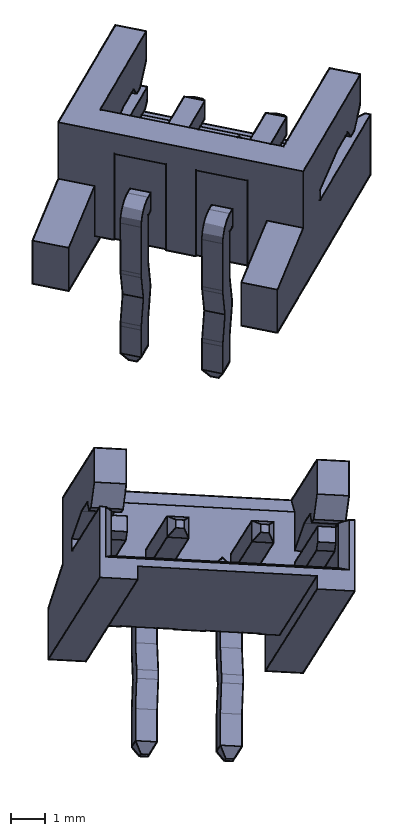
import cadquery as cq
import math


housing_width = 7.5
housing_height = 4.2
total_length = 8.3
leg_length = 2.3
leg_width = 1.11
leg_tip_height = 1.54
leg_root_height = 2.18
rear_y = total_length - leg_length
channel_depth = 0.4

arm_rear_y = 5.1
arm_nose_z = 3.15
hook_z = 2.55
hook_rear_y = 4.56
hook_front_y = 4.23
hook_root_y = 3.98
slot_roof_z = 2.89
slot_slope_y = 3.06
slot_end_roof_z = 2.515
slot_floor_z = 2.15

cavity_width = 5.61
floor_z = 0.8
rail_bottom_z = 1.48
rail_chamfer = 0.2
wall_thickness = 1.49
wall_chamfer = 0.51

mouth_width = 6.68
mouth_depth = 0.805
lead_in_length = 0.4
floor_lead_in_depth = 0.17
side_lead_in_depth = 0.24
mouth_front_y = rear_y - mouth_depth

ridge_width = 0.515
ridge_height = 0.26

recess_width = 1.585
recess_top_margin = 0.73
recess_depth = 0.05

pin_pitch = 2.5
pin_size = 0.64
pin_top_z = 2.315
pin_front_y = -0.82
pin_rear_y = mouth_front_y
pin_bottom_z = -3.3
pin_tip_length = 0.33
pin_tip_size = 0.25
jog_offset = 0.2
jog_height = 1.0


def block(x_min, x_max, y_min, y_max, z_min, z_max):
    size = (x_max - x_min, y_max - y_min, z_max - z_min)
    return cq.Workplane("XY").box(*size, centered=False).translate((x_min, y_min, z_min))


def centred_prism(side_points, width):
    """Extrude a closed (Y, Z) outline to a width centred on X = 0."""
    return cq.Workplane("YZ").polyline(side_points).close().extrude(width / 2, both=True)


def make_shell():
    outline = [
        (-leg_length, 0),
        (rear_y, 0),
        (rear_y, slot_floor_z),
        (wall_thickness, slot_floor_z),
        (wall_thickness, slot_end_roof_z),
        (slot_slope_y, slot_roof_z),
        (hook_root_y, slot_roof_z),
        (hook_front_y, hook_z),
        (hook_rear_y, hook_z),
        (arm_rear_y, arm_nose_z),
        (arm_rear_y, housing_height),
        (0, housing_height),
        (0, leg_root_height),
        (-leg_length, leg_tip_height),
    ]
    shell = centred_prism(outline, housing_width)
    inner_x = housing_width / 2 - leg_width
    between_legs = block(-inner_x, inner_x, -leg_length, 0, 0, housing_height)
    channel = block(-inner_x, inner_x, 0, rear_y, 0, channel_depth)
    return shell.cut(between_legs).cut(channel)


def make_cavity():
    outline = [
        (rear_y, floor_z),
        (wall_thickness, floor_z),
        (wall_thickness, housing_height - wall_chamfer),
        (wall_thickness - wall_chamfer, housing_height),
        (rear_y, housing_height),
    ]
    return centred_prism(outline, cavity_width).union(make_undercut())


def make_undercut():
    """Hollow that widens the cavity to the mouth width between the floor and the side rails."""
    outline = [
        (wall_thickness, floor_z),
        (mouth_front_y, floor_z),
        (mouth_front_y, rail_bottom_z + rail_chamfer),
        (mouth_front_y - rail_chamfer, rail_bottom_z),
        (wall_thickness, rail_bottom_z),
    ]
    return centred_prism(outline, mouth_width)


def make_mouth():
    half = mouth_width / 2
    mouth = block(-half, half, mouth_front_y, rear_y, floor_z, slot_floor_z)
    lead_in_y = rear_y - lead_in_length
    floor_lead_in = [
        (lead_in_y, floor_z),
        (rear_y, floor_z - floor_lead_in_depth),
        (rear_y, slot_floor_z),
        (lead_in_y, slot_floor_z),
    ]
    side_lead_in = [
        (-half, lead_in_y),
        (half, lead_in_y),
        (half + side_lead_in_depth, rear_y),
        (-half - side_lead_in_depth, rear_y),
    ]
    flare = centred_prism(floor_lead_in, housing_width)
    side_flare = cq.Workplane("XY").polyline(side_lead_in).close().extrude(slot_floor_z)
    return mouth.union(flare.intersect(side_flare))


def make_ridge():
    profile = [
        (-ridge_width / 2, floor_z),
        (ridge_width / 2, floor_z),
        (0, floor_z + ridge_height),
    ]
    plane = cq.Workplane("XZ", origin=(0, mouth_front_y, 0))
    return plane.polyline(profile).close().extrude(mouth_front_y - wall_thickness)


def make_recess(x):
    half = recess_width / 2
    return block(x - half, x + half, 0, recess_depth, 0, housing_height - recess_top_margin)


def make_pin(x):
    """Square wire, bent about sharp inside corners, with a jogged tail and pyramid tips."""
    back_y = pin_front_y + pin_size
    arm_bottom_z = pin_top_z - pin_size

    across = pin_size - jog_offset
    run = math.sqrt(across**2 + jog_height**2 - pin_size**2)
    tilt = math.atan2(pin_size, run) - math.atan2(across, jog_height)

    def around(centre, angle):
        """Point one wire thickness from a bend centre; angle is measured from +Y."""
        return (
            centre[0] + pin_size * math.cos(angle),
            centre[1] + pin_size * math.sin(angle),
        )

    elbow = (back_y, arm_bottom_z)
    jog_start = (back_y, 0)
    jog_middle = (pin_front_y + jog_offset, -jog_height)
    jog_end = (back_y, -2 * jog_height)
    tail_end_z = pin_bottom_z + pin_tip_length
    arm_end_y = pin_rear_y - pin_tip_length

    wire = (
        cq.Workplane("YZ")
        .moveTo(arm_end_y, pin_top_z)
        .lineTo(back_y, pin_top_z)
        .threePointArc(around(elbow, math.radians(135)), (pin_front_y, arm_bottom_z))
        .lineTo(pin_front_y, 0)
        .threePointArc(around(jog_start, math.pi + tilt / 2), around(jog_start, math.pi + tilt))
        .lineTo(*jog_middle)
        .lineTo(*around(jog_end, math.pi - tilt))
        .threePointArc(around(jog_end, math.pi - tilt / 2), (pin_front_y, jog_end[1]))
        .lineTo(pin_front_y, tail_end_z)
        .lineTo(back_y, tail_end_z)
        .lineTo(*jog_end)
        .lineTo(*around(jog_middle, -tilt))
        .threePointArc(around(jog_middle, 0), around(jog_middle, tilt))
        .lineTo(*jog_start)
        .lineTo(*elbow)
        .lineTo(arm_end_y, arm_bottom_z)
        .close()
        .extrude(pin_size / 2, both=True)
    )

    def tip(plane, origin):
        base = cq.Workplane(plane, origin=origin).rect(pin_size, pin_size)
        return base.workplane(offset=pin_tip_length).rect(pin_tip_size, pin_tip_size).loft()

    contact_tip = tip("ZX", (0, arm_end_y, pin_top_z - pin_size / 2))
    tail_tip = tip("YX", (0, pin_front_y + pin_size / 2, tail_end_z))
    return wire.union(contact_tip).union(tail_tip).translate((x, 0, 0))


result = make_shell().cut(make_cavity()).cut(make_mouth()).union(make_ridge())
for pin_x in (-pin_pitch / 2, pin_pitch / 2):
    result = result.cut(make_recess(pin_x)).union(make_pin(pin_x))